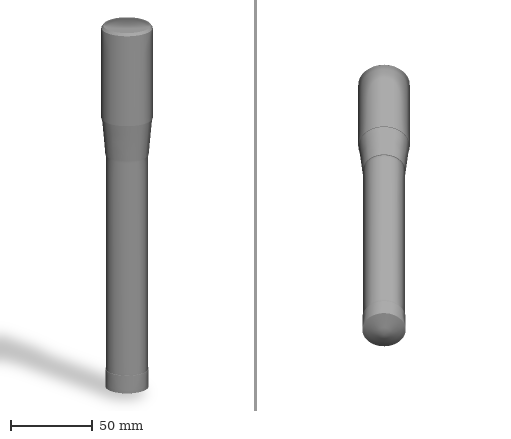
import cadquery as cq
import math

total_length = 240.8

head_diameter = 26.7
head_top = 16.4
point_angle = 140.0
point_height = head_diameter / 2 / math.tan(math.radians(point_angle / 2))

body_diameter = 25.8
collar_bottom = 156.5
collar_bottom_diameter = 26.7
collar_top = 180.5
collar_top_diameter = 31.0
shank_diameter = 31.8
shank_chamfer_height = 1.7
shank_chamfer_width = 1.2


def revolve_profile(points):
    """Revolve a closed (radius, height) outline about the Z axis."""
    return cq.Workplane("XZ").polyline(points).close().revolve(360, (0, 0), (0, 1))


def make_cutting_head():
    """Short cylinder with a conical point, seated against the holder's lower face."""
    radius = head_diameter / 2
    return revolve_profile([
        (0, 0),
        (radius, point_height),
        (radius, head_top),
        (0, head_top),
    ])


def make_holder():
    """Slender body widening through a tapered collar to the chamfered shank."""
    body_radius = body_diameter / 2
    shank_radius = shank_diameter / 2
    return revolve_profile([
        (0, head_top),
        (body_radius, head_top),
        (body_radius, collar_bottom),
        (collar_bottom_diameter / 2, collar_bottom),
        (collar_top_diameter / 2, collar_top),
        (shank_radius, collar_top),
        (shank_radius, total_length - shank_chamfer_height),
        (shank_radius - shank_chamfer_width, total_length),
        (0, total_length),
    ])


cutting_head = make_cutting_head()
holder = make_holder()

result = cq.Compound.makeCompound([cutting_head.val(), holder.val()])